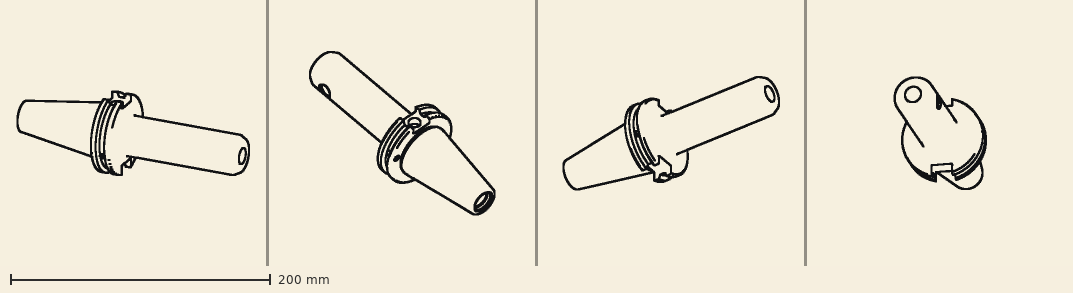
import cadquery as cq
import math


gauge_diameter = 44.45
taper_ratio = 7 / 24
taper_length = 68.25
taper_end_fillet = 1.0
gauge_land_length = 1.4
neck_diameter = 43.6
neck_start = 2.6

flange_diameter = 63.26
flange_start = 3.18
flange_width = 15.88
flange_fillet = 1.0
groove_center = 11.2
groove_floor_width = 4.0
groove_diameter = 56.2
groove_mouth_width = 7.24

slot_width = 16.42
upper_slot_floor = 25.0
lower_slot_floor = 22.6
slot_corner_fillet = 0.8
dimple_diameter = 9.53
dimple_depth = 7.0
drill_tip_angle = 118

nose_diameter = 31.75
nose_end = 117.6
nose_fillet = 4.75
nose_bevel_length = 5.1
nose_bevel_angle = 28
nose_bevel_blend = 1.3
nose_end_fillet = 1.5

bore_diameter = 12.7
thread_bore_diameter = 13.39
thread_bore_depth = 30.0
counterbore_diameter = 16.3
counterbore_depth = 4.0
counterbore_chamfer = 1.0

coolant_entry_diameter = 4.2
coolant_entry_depth = 4.0
coolant_entry_y = 25.75
coolant_duct_diameter = 3.24
coolant_duct_depth = 8.0
coolant_duct_y = 24.5
coolant_z = 9.3
groove_port_diameter = 4.0
groove_port_bottom = 22.5

screw_hole_diameter = 9.73
screw_countersink_diameter = 12.5
screw_from_nose_end = 20.4

taper_start = -taper_length
flange_end = flange_start + flange_width
flange_center = flange_start + flange_width / 2


def drill(start, direction, diameter, depth):
    """A drilled hole: a cylinder of the given depth that ends in a conical tip."""
    radius = diameter / 2
    tip_length = radius / math.tan(math.radians(drill_tip_angle / 2))
    barrel = cq.Solid.makeCylinder(radius, depth, start, direction)
    tip = cq.Solid.makeCone(radius, 0, tip_length, start + direction * depth, direction)
    return cq.Workplane(barrel).union(cq.Workplane(tip))


def make_body():
    """The turned outside: taper, flange with V-groove, and nose."""
    gauge_radius = gauge_diameter / 2
    small_radius = gauge_radius - taper_length * taper_ratio / 2
    neck_radius = neck_diameter / 2
    flange_radius = flange_diameter / 2
    groove_radius = groove_diameter / 2
    nose_radius = nose_diameter / 2

    groove_floor_half = groove_floor_width / 2
    groove_mouth_half = groove_mouth_width / 2
    fillet_inset = flange_fillet * (1 - math.sqrt(0.5))
    bevel_start = nose_end - nose_bevel_length
    bevel_radius = nose_radius - nose_bevel_length * math.tan(math.radians(nose_bevel_angle))
    nose_fillet_inset = nose_fillet * (1 - math.sqrt(0.5))

    profile = (
        cq.Workplane("XY")
        .moveTo(taper_start, 0)
        .lineTo(taper_start, small_radius)
        .lineTo(0, gauge_radius)
        .lineTo(gauge_land_length, gauge_radius)
        .lineTo(neck_start, neck_radius)
        .lineTo(flange_start, neck_radius)
        .lineTo(flange_start, flange_radius - flange_fillet)
        .threePointArc(
            (flange_start + fillet_inset, flange_radius - fillet_inset),
            (flange_start + flange_fillet, flange_radius),
        )
        .lineTo(groove_center - groove_mouth_half, flange_radius)
        .lineTo(groove_center - groove_floor_half, groove_radius)
        .lineTo(groove_center + groove_floor_half, groove_radius)
        .lineTo(groove_center + groove_mouth_half, flange_radius)
        .lineTo(flange_end - flange_fillet, flange_radius)
        .threePointArc(
            (flange_end - fillet_inset, flange_radius - fillet_inset),
            (flange_end, flange_radius - flange_fillet),
        )
        .lineTo(flange_end, nose_radius + nose_fillet)
        .threePointArc(
            (flange_end + nose_fillet_inset, nose_radius + nose_fillet_inset),
            (flange_end + nose_fillet, nose_radius),
        )
        .lineTo(bevel_start, nose_radius)
        .lineTo(nose_end, bevel_radius)
        .lineTo(nose_end, 0)
        .close()
    )
    body = profile.revolve(360, (0, 0, 0), (1, 0, 0))
    body = body.faces("<X").edges().fillet(taper_end_fillet)
    bevel_edge = cq.selectors.BoxSelector(
        (bevel_start - nose_bevel_blend, -flange_radius, -flange_radius),
        (bevel_start + nose_bevel_blend, flange_radius, flange_radius),
    )
    body = body.edges(bevel_edge).fillet(nose_bevel_blend)
    return body.faces(">X").edges().fillet(nose_end_fillet)


def make_slot(floor, side):
    """A drive slot across the flange; side is +1 for the top and -1 for the bottom."""
    height = flange_diameter / 2
    return (
        cq.Workplane("XY")
        .box(flange_width, slot_width, height, centered=(True, True, False))
        .edges("|X and <Z" if side > 0 else "|X and >Z")
        .fillet(slot_corner_fillet)
        .translate((flange_center, 0, floor if side > 0 else -floor - height))
    )


def make_dimple():
    """The drilled dimple in the floor of the upper drive slot."""
    start = cq.Vector(flange_center, 0, upper_slot_floor)
    return drill(start, cq.Vector(0, 0, -1), dimple_diameter, dimple_depth)


def make_bore():
    """The through bore, widened at the taper end for the retention thread."""
    bore_radius = bore_diameter / 2
    thread_radius = thread_bore_diameter / 2
    counterbore_radius = counterbore_diameter / 2
    counterbore_end = taper_start + counterbore_depth
    thread_end = taper_start + thread_bore_depth
    return (
        cq.Workplane("XY")
        .moveTo(taper_start, 0)
        .lineTo(taper_start, counterbore_radius + counterbore_chamfer)
        .lineTo(taper_start + counterbore_chamfer, counterbore_radius)
        .lineTo(counterbore_end, counterbore_radius)
        .lineTo(counterbore_end, thread_radius)
        .lineTo(thread_end, thread_radius)
        .lineTo(thread_end, bore_radius)
        .lineTo(nose_end, bore_radius)
        .lineTo(nose_end, 0)
        .close()
        .revolve(360, (0, 0, 0), (1, 0, 0))
    )


def make_coolant_hole(side):
    """An entry hole in the flange face, a deeper duct beside it and a port from the V-groove into the duct.

    side is +1 for the set at +Y, +Z and -1 for the opposite set.
    """
    inward = cq.Vector(1, 0, 0)
    entry_start = cq.Vector(flange_start, side * coolant_entry_y, side * coolant_z)
    duct_start = cq.Vector(flange_start, side * coolant_duct_y, side * coolant_z)
    entry = drill(entry_start, inward, coolant_entry_diameter, coolant_entry_depth)
    duct = drill(duct_start, inward, coolant_duct_diameter, coolant_duct_depth)
    port_start = cq.Vector(groove_center, side * groove_diameter / 2, side * coolant_z)
    port_depth = groove_diameter / 2 - groove_port_bottom
    port = drill(port_start, cq.Vector(0, -side, 0), groove_port_diameter, port_depth)
    return entry.union(duct).union(port)


def make_screw_hole():
    """The radial clamping screw hole on the +Y side of the nose, with its 90 degree countersink."""
    x = nose_end - screw_from_nose_end
    outward = cq.Vector(0, 1, 0)
    nose_radius = nose_diameter / 2
    hole_radius = screw_hole_diameter / 2
    sink_radius = screw_countersink_diameter / 2
    sink_depth = sink_radius - hole_radius
    sink_start = cq.Vector(x, nose_radius - sink_depth, 0)
    hole = cq.Solid.makeCylinder(hole_radius, nose_radius, cq.Vector(x, 0, 0), outward)
    sink = cq.Solid.makeCone(hole_radius, sink_radius, sink_depth, sink_start, outward)
    return cq.Workplane(hole).union(cq.Workplane(sink))


result = (
    make_body()
    .cut(make_slot(upper_slot_floor, 1))
    .cut(make_slot(lower_slot_floor, -1))
    .cut(make_dimple())
    .cut(make_bore())
    .cut(make_screw_hole())
)
for hole_side in (1, -1):
    result = result.cut(make_coolant_hole(hole_side))